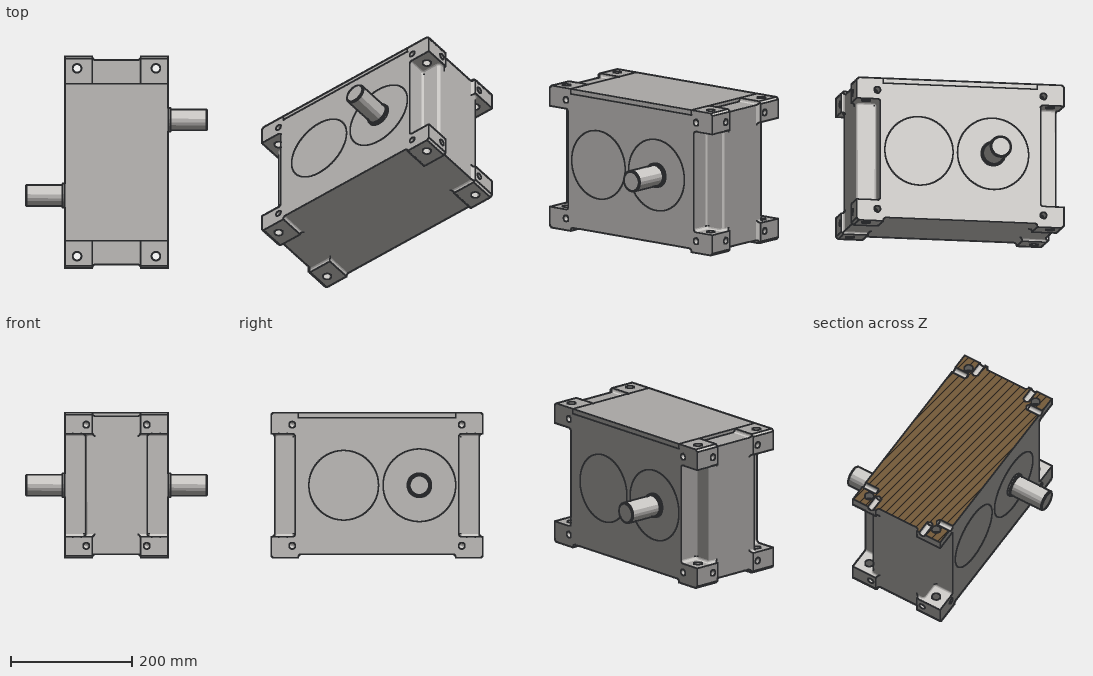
import math

import cadquery as cq

width = 170.0
length = 350.0
height = 240.0

foot_side = 45.0
foot_height = 35.0
foot_proud = 6.0
foot_chamfer = 4.0

pocket_width = 34.3
pocket_length = 40.0
inner_radius = 4.0
casting_radius = 5.0

bolt_diameter = 14.0
bolt_inset = 20.0
tapped_diameter = 10.5
tapped_inset = 35.0
tapped_drop = 20.0
tapped_depth = 25.0
drill_point_angle = 118

lid_thickness = 8.5
lid_length = length - 2 * foot_side

overall_width = 300.0
left_shaft_y = -55.0
right_shaft_y = 70.0
shaft_diameter = 35.0
shaft_chamfer = 1.8
collar_diameter = 40.0
collar_projection = 5.0
collar_chamfer = 1.5
seal_cover_diameter = 120.0
blind_cover_diameter = 115.0
cover_thickness = 10.0

tolerance = 0.05

shaft_places = [(-1, left_shaft_y), (1, right_shaft_y)]


def mirrored(x, y):
    """The four points at plus or minus x and y."""
    return [(sign_x * x, sign_y * y) for sign_x in (-1, 1) for sign_y in (-1, 1)]


def side_plane(side, y):
    """Plane on the left (-1) or right (1) face, its normal pointing out of the housing."""
    return cq.Plane(origin=(side * width / 2, y, 0), xDir=(0, 1, 0), normal=(side, 0, 0))



def sharp_casting():
    """Walls and feet, before blending."""
    wall_height = height - 2 * foot_proud
    across = cq.Workplane().box(width, length - 2 * pocket_length, wall_height)
    along = cq.Workplane().box(width - 2 * pocket_width, length - 2 * foot_proud, wall_height)
    casting = across.union(along)
    foot_centres = mirrored((width - foot_side) / 2, (length - foot_side) / 2)
    foot_level = (height - foot_height) / 2
    for z in (-foot_level, foot_level):
        feet = cq.Workplane(origin=(0, 0, z)).pushPoints(foot_centres)
        casting = casting.union(feet.box(foot_side, foot_side, foot_height))
    return casting.clean()


def is_inside(centre):
    """True for a point at least foot_proud inside the envelope."""
    x_inset = width / 2 - abs(centre.x)
    y_inset = length / 2 - abs(centre.y)
    z_inset = height / 2 - abs(centre.z)
    return min(x_inset, y_inset, z_inset) > foot_proud - tolerance


def is_inner_corner(edge):
    """True for the upright inside corners of the pockets."""
    centre = edge.Center()
    at_mid_height = abs(centre.z) < tolerance
    at_pocket_wall = abs(length / 2 - pocket_length - abs(centre.y)) < tolerance
    return is_inside(centre) and at_mid_height and at_pocket_wall


def is_blended(edge):
    """True for the upright outside corners and the edges where a foot rises from a wall.

    The edges between an end wall and the top or bottom wall stay sharp.
    """
    centre = edge.Center()
    at_mid_width = abs(centre.x) < tolerance
    return is_inside(centre) and not at_mid_width and not is_inner_corner(edge)


def blend(casting):
    """Round the casting edges, then the inside corners that run into them."""
    edges = [edge for edge in casting.edges().vals() if is_blended(edge)]
    casting = casting.newObject(edges).fillet(casting_radius)
    inner_corners = [edge for edge in casting.edges("|Z").vals() if is_inner_corner(edge)]
    return casting.newObject(inner_corners).fillet(inner_radius)


def chamfer_feet(casting):
    """Bevel the outer edges of the feet that run along X."""
    profile = (
        cq.Workplane("YZ")
        .rect(length, height)
        .extrude(width / 2, both=True)
        .edges("|X")
        .chamfer(foot_chamfer)
    )
    return casting.intersect(profile)


def bolt_holes():
    """Upright through holes, one line through each upper and lower foot."""
    return (
        cq.Workplane(origin=(0, 0, -height / 2))
        .pushPoints(mirrored(width / 2 - bolt_inset, length / 2 - bolt_inset))
        .circle(bolt_diameter / 2)
        .extrude(height)
    )


def drilled_hole(mouth, direction):
    """Blind hole with a conical drill point."""
    radius = tapped_diameter / 2
    point_depth = radius / math.tan(math.radians(drill_point_angle / 2))
    bore = cq.Solid.makeCylinder(radius, tapped_depth, mouth, direction)
    point = cq.Solid.makeCone(radius, 0, point_depth, mouth + direction * tapped_depth, direction)
    return cq.Workplane(bore).union(cq.Workplane(point))


def tapped_holes():
    """Holes into the ends and sides of every foot."""
    holes = cq.Workplane()
    across = width / 2 - tapped_inset
    along = length / 2 - tapped_inset
    level = height / 2 - tapped_drop
    for sign in (-1, 1):
        for x, z in mirrored(across, level):
            holes.add(drilled_hole(cq.Vector(x, sign * length / 2, z), cq.Vector(0, -sign, 0)))
        for y, z in mirrored(along, level):
            holes.add(drilled_hole(cq.Vector(sign * width / 2, y, z), cq.Vector(-sign, 0, 0)))
    return holes.combine()


def cover_recesses():
    """Two recesses in each face, filled by the bearing covers and the shaft collars."""
    recesses = cq.Workplane()
    for side, y in shaft_places:
        recesses.add(cover_disc(side, y, seal_cover_diameter))
        recesses.add(cover_disc(-side, y, blind_cover_diameter))
    return recesses.combine()


def make_housing():
    casting = chamfer_feet(blend(sharp_casting()))
    return casting.cut(bolt_holes()).cut(tapped_holes()).cut(cover_recesses()).cut(make_lid())



def make_lid():
    """Plate flush with the top of the feet and as wide as the housing."""
    return cq.Workplane(origin=(0, 0, (height - lid_thickness) / 2)).box(width, lid_length, lid_thickness)



def cover_disc(side, y, diameter):
    """Disc flush with the housing face."""
    return cq.Workplane(side_plane(side, y)).circle(diameter / 2).extrude(-cover_thickness)


def make_blind_cover(side, y):
    return cover_disc(side, y, blind_cover_diameter)


def make_seal_cover(side, y):
    """Disc with a bore for the collar of the shaft."""
    bore = cover_disc(side, y, collar_diameter)
    return cover_disc(side, y, seal_cover_diameter).cut(bore)



def make_shaft(side, y):
    """Stub shaft whose collar fills the bore of the seal cover."""
    plane = side_plane(side, y)
    collar = (
        cq.Workplane(plane)
        .workplane(offset=-cover_thickness)
        .circle(collar_diameter / 2)
        .extrude(cover_thickness + collar_projection)
        .faces(cq.selectors.DirectionMinMaxSelector(plane.zDir))
        .chamfer(collar_chamfer)
    )
    journal = (
        cq.Workplane(plane)
        .circle(shaft_diameter / 2)
        .extrude((overall_width - width) / 2)
        .faces(cq.selectors.DirectionMinMaxSelector(plane.zDir))
        .chamfer(shaft_chamfer)
    )
    return collar.union(journal)



housing = make_housing()
lid = make_lid()
seal_covers = [make_seal_cover(side, y) for side, y in shaft_places]
blind_covers = [make_blind_cover(-side, y) for side, y in shaft_places]
shafts = [make_shaft(side, y) for side, y in shaft_places]

bodies = [housing, lid, *seal_covers, *blind_covers, *shafts]
result = cq.Compound.makeCompound([body.solids().val() for body in bodies])